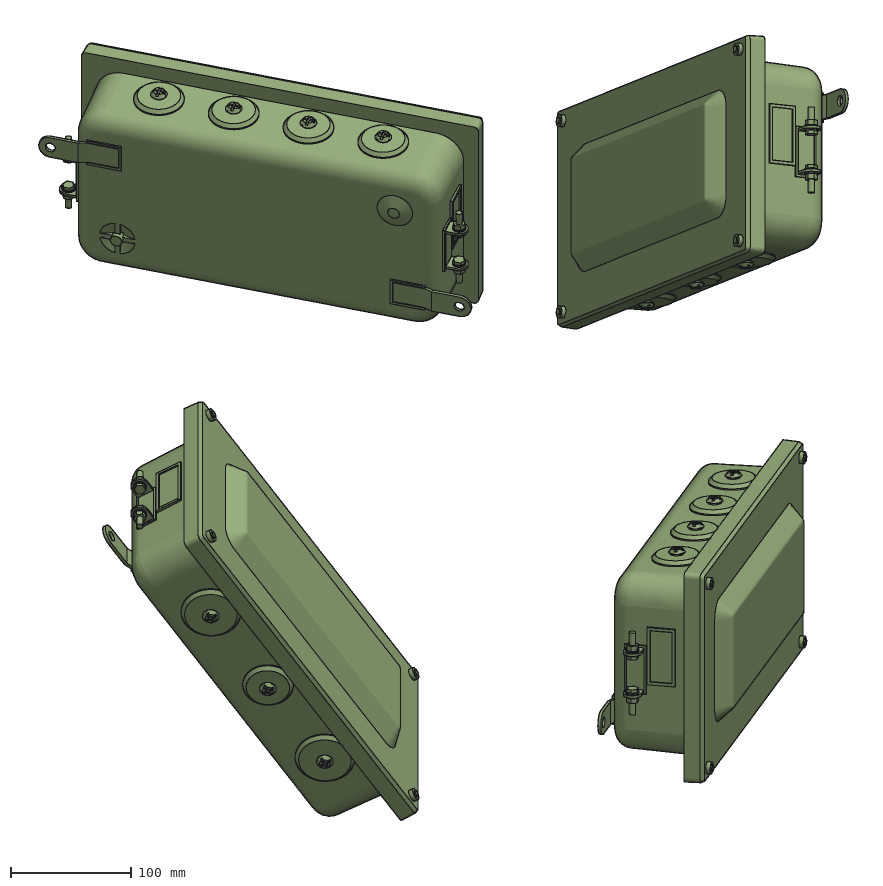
import cadquery as cq
import math


total_length = 376.0
total_depth = 100.0

rim_length, rim_height, rim_thickness = 345.5, 185.0, 17.0
rim_corner = 4.5
rim_draft = 2.0
rim_bevel_width, rim_bevel_depth = 1.5, 3.5
panel_length, panel_height = 269.5, 108.3
panel_rise = 13.0
panel_corner = 15.5
panel_draft = 45.0
panel_edge_round = 3.8
lid_top = rim_thickness + panel_rise
mount_plane = lid_top - total_depth

body_length, body_height, body_depth = 319.5, 157.0, 66.0
body_corner = 24.0
body_draft = 1.5
body_edge_round = 14.5
draft_slope = math.tan(math.radians(body_draft))

plug_y = -24.5
plug_embed = 1.0
plug_thickness = 4.0
plug_bevel = 3.0
small_plug_dia = 42.0
large_plug_dia = 49.5
top_plug_pitch = 65.0
bottom_plug_offset = 90.2
neck_dia, neck_height = 11.3, 1.5
cap_dia, cap_height = 14.0, 3.5
cap_top_dia = 9.0
cap_slot_width, cap_slot_depth = 2.0, 1.5

screw_x, screw_z = 160.5, 81.2
screw_dia, screw_height = 10.0, 3.8
screw_tip_dia, screw_tip_height = 5.5, 1.0

foot_x, foot_z = 120.7, 42.5
foot_dia, foot_tip_dia = 31.0, 10.0
drain_rib_width = 4.5

strap_width, strap_thickness = 20.3, 2.5
strap_hole_dia = 8.5
strap_z = foot_z
strap_inner_x = 119.2
strap_bend_x, strap_bend_length = 144.8, 9.0
strap_bend_radius = 6.0
strap_joggle = 3.0
weld_width = 2.3
weld_height = 1.5

plate_y, plate_z = -22.5, 12.8
plate_depth, plate_height = 24.0, 50.5
plate_border = 2.5
plate_rise, border_rise = 0.8, 2.0
wall_embed = 3.8

bracket_y = -44.7
bracket_width = 15.0
bracket_base_x = 161.0
bracket_weld_x = 160.0
bracket_weld_width = 2.0
ear_thickness = 2.3
ear_mid_z = 18.5
ear_bolt_x = 170.0
bolt_dia, bolt_end_z = 5.3, 36.0
washer_dia, washer_thickness = 11.3, 1.0
hex_across_corners = 10.0
nut_height, bolt_head_height = 4.5, 3.0


def plane_facing_back(y):
    """Sketch plane at height y whose normal points along +Y."""
    return cq.Workplane(cq.Plane(origin=(0, y, 0), xDir=(1, 0, 0), normal=(0, 1, 0)))


def box_between(x_range, y_range, z_range):
    """Box given by its two limits along each axis."""
    (x0, x1), (y0, y1), (z0, z1) = x_range, y_range, z_range
    return cq.Workplane("XY").box(x1 - x0, y1 - y0, z1 - z0, centered=False).translate((x0, y0, z0))


def rounded_rectangle(length, height, radius):
    return cq.Sketch().rect(length, height).vertices().fillet(radius)


def half_turn(shape):
    """The same shape turned half a revolution about the Y axis."""
    return shape.rotate((0, 0, 0), (0, 1, 0), 180)


def make_lid():
    """Bevelled rim plate carrying the raised panel."""
    rim = plane_facing_back(0).placeSketch(rounded_rectangle(rim_length, rim_height, rim_corner))
    rim = rim.extrude(rim_thickness, taper=rim_draft)
    rim = rim.faces(">Y").chamfer(rim_bevel_depth, rim_bevel_width)
    outline = rounded_rectangle(panel_length, panel_height, panel_corner)
    panel = plane_facing_back(rim_thickness).placeSketch(outline).extrude(panel_rise, taper=panel_draft)
    return rim.union(panel.faces(">Y").edges().fillet(panel_edge_round))


def make_body():
    """Drafted box with rounded corners and a rounded mounting-face edge."""
    outline = rounded_rectangle(body_length, body_height, body_corner)
    body = cq.Workplane("XZ").placeSketch(outline).extrude(body_depth, taper=body_draft)
    return body.faces("<Y").edges().fillet(body_edge_round)


def make_plug(diameter):
    """Bevelled disc with a slotted cap, standing on Z = 0."""
    neck_top = plug_thickness + neck_height
    cap_top = neck_top + cap_height
    profile = [
        (0, -plug_embed),
        (diameter / 2, -plug_embed),
        (diameter / 2, plug_thickness - plug_bevel),
        (diameter / 2 - plug_bevel, plug_thickness),
        (neck_dia / 2, plug_thickness),
        (neck_dia / 2, neck_top),
        (cap_dia / 2, neck_top),
        (cap_top_dia / 2, cap_top),
        (0, cap_top),
    ]
    plug = cq.Workplane("XZ").polyline(profile).close().revolve(360, (0, 0), (0, 1))
    slots = cq.Workplane("XY").workplane(offset=cap_top - cap_slot_depth)
    slots = slots.rect(cap_dia, cap_slot_width).extrude(cap_slot_depth)
    slots = slots.union(slots.rotate((0, 0, 0), (0, 0, 1), 90))
    return plug.cut(slots)


def make_plugs():
    """Four small plugs on the top wall; two large ones either side of a small one below."""
    wall_z = body_height / 2 + plug_y * draft_slope

    def place(diameter, x):
        return make_plug(diameter).rotate((0, 0, 0), (1, 0, 0), body_draft).translate((x, plug_y, wall_z))

    plugs = [place(small_plug_dia, i * top_plug_pitch) for i in (-1.5, -0.5, 0.5, 1.5)]
    bottom_plugs = [(large_plug_dia, -1), (small_plug_dia, 0), (large_plug_dia, 1)]
    plugs += [half_turn(place(diameter, i * bottom_plug_offset)) for diameter, i in bottom_plugs]
    return plugs


def make_lid_screws():
    corners = [(sx * screw_x, sz * screw_z) for sx in (-1, 1) for sz in (-1, 1)]
    heads = plane_facing_back(rim_thickness).pushPoints(corners).circle(screw_dia / 2).extrude(screw_height)
    tips = plane_facing_back(rim_thickness).pushPoints(corners).circle(screw_tip_dia / 2)
    return heads.union(tips.extrude(screw_height + screw_tip_height))


def make_foot():
    """Conical foot in the upper right corner of the mounting face."""
    foot_height = -body_depth - mount_plane
    base = cq.Workplane("XZ", origin=(foot_x, -body_depth, foot_z)).circle(foot_dia / 2)
    return base.workplane(offset=foot_height).circle(foot_tip_dia / 2).loft()


def cut_drain(box):
    """Conical dish in the lower left corner, with a centre post and four cross ribs."""
    dish_depth = -body_depth - mount_plane
    floor_y = dish_depth - body_depth
    floor = cq.Workplane("XZ", origin=(-foot_x, floor_y, -foot_z))
    dish = floor.circle(foot_tip_dia / 2).workplane(offset=dish_depth).circle(foot_dia / 2).loft()
    ribs = floor.rect(foot_dia, drain_rib_width).extrude(dish_depth)
    ribs = ribs.union(floor.rect(drain_rib_width, foot_dia).extrude(dish_depth))
    post = floor.circle(foot_tip_dia / 2).extrude(floor_y - mount_plane)
    return box.cut(dish.cut(ribs)).union(post)


def make_strap():
    """Joggled strap at the right end, with a weld bead around its inner end."""
    eye_x = total_length / 2 - strap_width / 2
    bend_end_x = strap_bend_x + strap_bend_length
    back_y = mount_plane + strap_thickness
    side = [
        (strap_inner_x, mount_plane + strap_joggle),
        (strap_bend_x, mount_plane + strap_joggle),
        (bend_end_x, mount_plane),
        (eye_x, mount_plane),
        (eye_x, back_y),
        (bend_end_x, back_y),
        (strap_bend_x, back_y + strap_joggle),
        (strap_inner_x, back_y + strap_joggle),
    ]
    low_z = -strap_z - strap_width / 2
    high_z = -strap_z + strap_width / 2
    strap = cq.Workplane("XY", origin=(0, 0, low_z)).polyline(side).close().extrude(strap_width)
    bend_point = (strap_bend_x, mount_plane + strap_joggle, -strap_z)
    strap = strap.edges(cq.NearestToPointSelector(bend_point)).fillet(strap_bend_radius)
    eye = plane_facing_back(mount_plane).center(eye_x, strap_z)
    strap = strap.union(eye.circle(strap_width / 2).extrude(strap_thickness))
    hole = eye.circle(strap_hole_dia / 2).extrude(strap_thickness)
    bead = box_between(
        (strap_inner_x - weld_width, strap_bend_x + weld_width),
        (-body_depth - weld_height, -body_depth + wall_embed),
        (low_z - weld_width, high_z + weld_width),
    )
    strap_bed = box_between((strap_inner_x, eye_x), (mount_plane, 0), (low_z, high_z))
    return strap.cut(hole).union(bead.cut(strap_bed))


def make_rating_plate():
    """Thin plate with a raised weld border on the right end wall."""
    wall_x = body_length / 2 + plate_y * draft_slope
    center = (wall_x, plate_y, plate_z)
    frame = cq.Workplane("YZ", origin=center).rect(plate_depth, plate_height)
    frame = frame.rect(plate_depth - 2 * plate_border, plate_height - 2 * plate_border)
    frame = frame.extrude(border_rise)
    plate = cq.Workplane("YZ", origin=center).workplane(offset=-wall_embed)
    return frame.union(plate.rect(plate_depth, plate_height).extrude(wall_embed + plate_rise))


def make_ear_bolt():
    """Bolt, washers and nut through the upper ear."""
    ear_low = ear_mid_z - ear_thickness / 2
    ear_high = ear_mid_z + ear_thickness / 2
    head_z = ear_low - washer_thickness - bolt_head_height
    nut_z = ear_high + washer_thickness

    def at(z):
        return cq.Workplane("XY", origin=(ear_bolt_x, bracket_y, z))

    bolt = at(head_z).circle(bolt_dia / 2).extrude(bolt_end_z - head_z)
    bolt = bolt.union(at(head_z).polygon(6, hex_across_corners).extrude(bolt_head_height))
    bolt = bolt.union(at(nut_z).polygon(6, hex_across_corners).extrude(nut_height))
    washers = at(ear_low - washer_thickness).circle(washer_dia / 2)
    return bolt.union(washers.extrude(ear_thickness + 2 * washer_thickness))


def make_earth_bracket():
    """U-shaped bracket on the right end wall, with one bolt through each ear."""
    inner_x = body_length / 2 - wall_embed
    half_width = bracket_width / 2
    half_height = ear_mid_z + ear_thickness / 2
    weld_half_width = half_width + bracket_weld_width
    weld_half_height = half_height + bracket_weld_width
    base = box_between(
        (inner_x, bracket_base_x),
        (bracket_y - half_width, bracket_y + half_width),
        (-half_height, half_height),
    )
    weld = box_between(
        (inner_x, bracket_weld_x),
        (bracket_y - weld_half_width, bracket_y + weld_half_width),
        (-weld_half_height, weld_half_height),
    )
    ear = cq.Workplane("XY", origin=(ear_bolt_x, bracket_y, ear_mid_z - ear_thickness / 2))
    ear = ear.circle(half_width).extrude(ear_thickness)
    ear = ear.union(box_between(
        (inner_x, ear_bolt_x),
        (bracket_y - half_width, bracket_y + half_width),
        (ear_mid_z - ear_thickness / 2, half_height),
    ))
    bolted_ear = ear.union(make_ear_bolt())
    return base.union(weld).union(bolted_ear).union(bolted_ear.mirror("XY"))


result = cut_drain(make_body().union(make_lid()))
result = result.union(make_foot()).union(make_lid_screws())
for plug in make_plugs():
    result = result.union(plug)

strap = make_strap()
result = result.union(strap).union(half_turn(strap))

for fitting in (make_rating_plate(), make_earth_bracket()):
    result = result.union(fitting).union(fitting.mirror("YZ"))